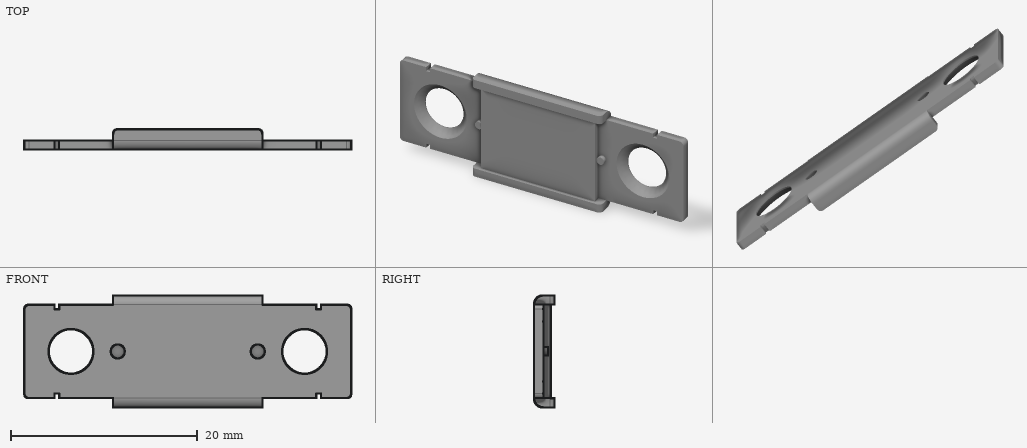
import cadquery as cq

plate_length = 35.0
plate_height = 10.0
overall_height = 12.0
overall_depth = 2.2
sheet_thickness = (overall_height - plate_height) / 2
corner_radius = 0.5

flange_length = 16.0

notch_size = 0.5
notch_offset = 14.0
mounting_hole_diameter = 4.75
mounting_hole_offset = 12.5
mounting_hole_land = 0.18
countersink_diameter = 6.5
boss_offset = 7.5
boss_diameter = 0.9
boss_height = 0.5
recess_diameter = 1.5
recess_depth = boss_height

pad_length = 2 * boss_offset - boss_diameter
pad_thickness = 0.8


def box_behind(length, depth, height, start_y):
    """Box centred in X and Z that runs from start_y towards +Y."""
    return cq.Workplane("XY").box(length, depth, height).translate((0, start_y + depth / 2, 0))


def cylinders_at(offset, diameter, start_y, depth):
    """Pair of cylinders at X = -offset and +offset, running from start_y towards +Y."""
    return (
        cq.Workplane("XZ", origin=(0, start_y, 0))
        .pushPoints([(-offset, 0), (offset, 0)])
        .circle(diameter / 2)
        .extrude(-depth)
    )


def make_flange():
    """Top flange: quarter-round outer bend, flat behind it, with rounded rear corners."""
    inner_z = plate_height / 2
    outer_z = overall_height / 2
    diagonal = sheet_thickness * 0.5 ** 0.5
    return (
        cq.Workplane("YZ", origin=(-flange_length / 2, 0, 0))
        .moveTo(0, inner_z)
        .threePointArc((sheet_thickness - diagonal, inner_z + diagonal), (sheet_thickness, outer_z))
        .lineTo(overall_depth, outer_z)
        .lineTo(overall_depth, inner_z)
        .close()
        .extrude(flange_length)
        .edges("|Z and >Y")
        .fillet(corner_radius)
    )


def make_notches():
    """Cutters for the four square notches in the long edges."""
    notch_z = (plate_height - notch_size) / 2
    corners = [(x, z) for x in (-notch_offset, notch_offset) for z in (-notch_z, notch_z)]
    return cq.Workplane("XZ").pushPoints(corners).rect(notch_size, notch_size).extrude(-sheet_thickness)


def make_countersinks():
    """Cone cutters that widen the mounting holes towards the rear face."""
    cone = cq.Solid.makeCone(
        mounting_hole_diameter / 2,
        countersink_diameter / 2,
        sheet_thickness - mounting_hole_land,
        pnt=cq.Vector(0, mounting_hole_land, 0),
        dir=cq.Vector(0, 1, 0),
    )
    offsets = [(-mounting_hole_offset, 0, 0), (mounting_hole_offset, 0, 0)]
    return [cone.translate(cq.Vector(*offset)) for offset in offsets]


def make_plate():
    plate = box_behind(plate_length, sheet_thickness, plate_height, 0).edges("|Y").fillet(corner_radius)
    plate = plate.cut(make_notches())
    plate = plate.cut(cylinders_at(mounting_hole_offset, mounting_hole_diameter, 0, sheet_thickness))
    for countersink in make_countersinks():
        plate = plate.cut(countersink)
    plate = plate.cut(cylinders_at(boss_offset, recess_diameter, 0, recess_depth))
    plate = plate.union(cylinders_at(boss_offset, boss_diameter, sheet_thickness, boss_height))
    top_flange = make_flange()
    return plate.union(top_flange).union(top_flange.mirror("XY"))


def make_pad():
    return box_behind(pad_length, pad_thickness, plate_height, sheet_thickness)


plate = make_plate()
pad = make_pad()

result = cq.Compound.makeCompound([plate.val(), pad.val()])